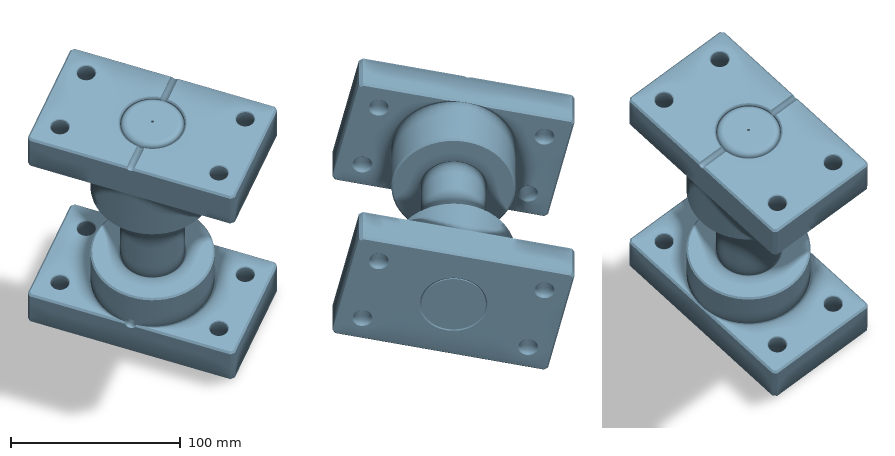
import cadquery as cq

plate_length = 130.0
plate_width = 75.0
plate_thickness = 25.2
lower_flange_height = 50.0
upper_flange_height = 60.0
pin_length = 170.0
pin_protrusion = 1.0

boss_diameter = 73.1
pin_diameter = 38.0
pin_end_fillet = 4.0
centre_mark_diameter = 1.7
centre_mark_depth = 1.7

bolt_spacing_x = 100.0
bolt_spacing_y = 44.0
bolt_hole_diameter = 10.9
bolt_hole_chamfer = 0.5

plate_chamfer = 1.2
round_chamfer = 1.0
corner_chamfer = 2.0
relief_width = 1.4
relief_depth = 0.5

cross_groove_diameter = 4.8
cross_groove_rise = 0.5
radial_hole_diameter = 6.8

upper_flange_top = pin_length - pin_protrusion
groove_bottom = plate_thickness - relief_depth


def cylinder(diameter, bottom, height):
    """Vertical cylinder on the common axis."""
    return cq.Workplane("XY", origin=(0, 0, bottom)).circle(diameter / 2).extrude(height)


def make_plate():
    """Chamfered rectangular plate standing on Z = 0."""
    plate = cq.Workplane("XY").box(plate_length, plate_width, plate_thickness, centered=(True, True, False))
    plate = plate.edges("|Z").chamfer(corner_chamfer)
    return plate.faces("<Z or >Z").edges().chamfer(plate_chamfer)


def make_foot_relief():
    """Conical seat that becomes a V groove once the boss stands in it."""
    boss_radius = boss_diameter / 2
    profile = cq.Workplane("XZ").moveTo(0, groove_bottom).lineTo(boss_radius, groove_bottom)
    profile = profile.lineTo(boss_radius + relief_width, plate_thickness).lineTo(0, plate_thickness).close()
    return profile.revolve(360, (0, 0, 0), (0, 1, 0))


def drill_bolt_holes(plate):
    """Four through holes near the plate corners, chamfered at both faces."""
    pattern = cq.Workplane("XY").rect(bolt_spacing_x, bolt_spacing_y, forConstruction=True).vertices()
    drilled = plate.cut(pattern.circle(bolt_hole_diameter / 2).extrude(plate_thickness))
    return drilled.faces("<Z or >Z").edges("%CIRCLE").chamfer(bolt_hole_chamfer)


def make_flange(height):
    """Bored flange: drilled plate from Z = 0 with a round boss above it."""
    boss = cylinder(boss_diameter, groove_bottom, height - groove_bottom).faces(">Z").chamfer(round_chamfer)
    flange = drill_bolt_holes(make_plate()).cut(make_foot_relief()).union(boss)
    flange = flange.cut(cylinder(pin_diameter, 0, height))
    flange = flange.faces("<Z").edges(cq.selectors.RadiusNthSelector(1)).chamfer(round_chamfer)
    return flange.faces(">Z").edges(cq.selectors.RadiusNthSelector(0)).chamfer(round_chamfer)


def make_lower_flange():
    """Flange with its boss upward and a radial hole from the -Y side into the bore."""
    radial_hole = cq.Workplane("XZ").center(0, plate_thickness).circle(radial_hole_diameter / 2)
    return make_flange(lower_flange_height).cut(radial_hole.extrude(plate_width / 2))


def make_upper_flange():
    """Flange with its boss downward and a shallow round groove across its top face."""
    flange = make_flange(upper_flange_height).rotate((0, 0, 0), (1, 0, 0), 180)
    flange = flange.translate((0, 0, upper_flange_top))
    groove = cq.Workplane("XZ").center(0, upper_flange_top + cross_groove_rise).circle(cross_groove_diameter / 2)
    return flange.cut(groove.extrude(plate_width / 2, both=True))


def make_pin():
    """Pin through both bores, rounded at the top with a small centre mark."""
    pin = cylinder(pin_diameter, 0, pin_length).faces(">Z").edges().fillet(pin_end_fillet)
    return pin.cut(cylinder(centre_mark_diameter, pin_length - centre_mark_depth, centre_mark_depth))


lower_flange = make_lower_flange()
upper_flange = make_upper_flange()
pin = make_pin()

result = cq.Compound.makeCompound([lower_flange.val(), upper_flange.val(), pin.val()])